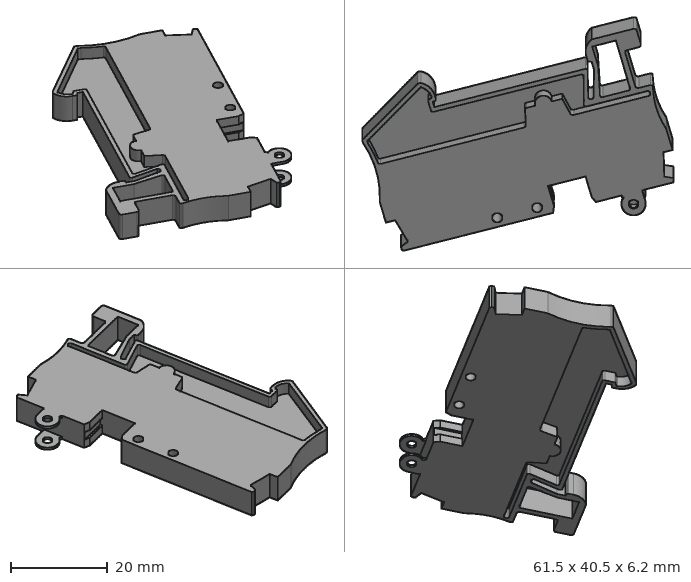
import cadquery as cq
import math

LENGTH = 61.5
THICKNESS = 6.2
TOTAL_HEIGHT = 40.5
TOP_Y = 35.5

HOOK_TOP_INSET = 1.8
HOOK_TIP_INSET = 1.55
HOOK_TIP_TOP_Y = 35.05
HOOK_TIP_LOW_Y = 34.5
HOOK_ROOT = (3.25, 33.7)
SHOULDER_INSET = 1.95
SHOULDER_Y = 28.4
FLANK_ARC_Y = 23.5
LEFT_FLANK_WAIST = (1.15, 16.6)
RIGHT_FLANK_WAIST = (60.75, 18.45)
RIGHT_FLANK_END_Y = 13.7
LEFT_FLANK_END_Y = 9.85

WALL = 1.0
RAIL_Y = 6.0
LEFT_CORNER = (0.2, 9.2)
LATCH_STEP_Y = 4.85
LATCH_TIP_Y = 4.6
LATCH_TIP_LEFT_X = 17.35
LATCH_TIP_RIGHT_X = 49.9
LATCH_ARC_Y = 3.45
FOOT_STEP = (57.9, 4.3)
RIGHT_LATCH_ARC = (50.35, 1.5)
RIGHT_LATCH_ARC_END_X = 51.95
LEFT_LATCH_ARC = (16.8, 1.5)
LEFT_LATCH_ARC_END = (15.3, 0.05)
LEFT_NOSE = (14.95, 0)
LEFT_NOSE_END = (14.5, 0.1)
SLIT_CORNER_X = 49.45
SLIT_BEND_Y = 6.7
SLIT_RIGHT = (48.95, 12.55)
SLIT_CROWN = (48.35, 12.9)
SLIT_LEFT = (47.8, 12.4)
ARM_Y = 13.1
ARM_END_X = 61.3
LATCH_ROOT_LEFT_X = 16.55
LATCH_ROOT_RIGHT_X = 50.6

WINDOW_TOP_LEFT_X = 50.2
WINDOW_LOW_LEFT_X = 51.65
WINDOW_RIGHT_X = 56.7
WINDOW_FLOOR_Y = 1.6
WINDOW_BEND_Y = 6.1

NOTCH_X = 38.53
NOTCH_WIDTH = 8.05
NOTCH_FLOOR_Y = 29.4
NOTCH_CHAMFER = 0.55
NOTCH_CHAMFER_HEIGHT = 1.3
GROOVE_WIDTH = 1.95
GROOVE_DEPTH = 0.5

EAR_RADIUS = 2.5
EAR_X = 50.5
EAR_Y = TOTAL_HEIGHT - EAR_RADIUS
EAR_THICKNESS = 0.6
EAR_NECK = (48.5, TOP_Y)
EAR_NECK_ANGLE = 230.0

HOLE_DIAMETER = 2.1
EAR_HOLE_DIAMETER = 1.95
TOP_HOLES = [(22.5, 33.45), (31.05, 33.45)]

WEB_THICKNESS = 0.6
RECESS_DEPTH = (THICKNESS - WEB_THICKNESS) / 2
RECESS_TOP_Y = 15.4
RECESS_LOW_Y = RAIL_Y + WALL
CHANNEL_LOW_Y = 14.25
CHANNEL_END_X = 60.4
CHANNEL_START_X = 46.4
RECESS_LEFT_X = 2.0
RECESS_RIGHT_X = 48.3
LATCH_POCKET_X = 15.7
LATCH_POCKET_STEP_Y = 4.25
LATCH_POCKET_TIP = (16.6, 3.8)
LATCH_POCKET_ARC = (16.2, 2.15)
LATCH_POCKET_NOSE = (15.0, 1.0)
RECESS_CORNER = (1.15, 9.7)
RECESS_FLANK_END_Y = 10.35
RECESS_FLANK_ARC = (1.7, 12.85)
TONGUE_Y = 11.25
TONGUE_TOP_WIDTH = 9.7
TONGUE_RADIUS = 1.8

SMALL_ROUND = 0.4
CORNER_ROUND = 0.6
LATCH_ROUND = 0.25


def right_side(point):
    """Mirror a point of the left flank to the right flank."""
    return (LENGTH - point[0], point[1])


def round_corners(solid, corners, radius):
    """Round the upright edges that stand nearest to the given corners."""
    for x, y in corners:
        nearest = cq.selectors.NearestToPointSelector((x, y, THICKNESS / 2))
        solid = solid.edges("|Z").edges(nearest).fillet(radius)
    return solid


def make_body():
    """Housing outline with flanks, notch, rail latch and foot."""
    flank = [
        (0, FLANK_ARC_Y),
        (0, SHOULDER_Y),
        (SHOULDER_INSET, SHOULDER_Y),
        HOOK_ROOT,
        (HOOK_TIP_INSET, HOOK_TIP_LOW_Y),
        (HOOK_TIP_INSET, HOOK_TIP_TOP_Y),
        (HOOK_TOP_INSET, TOP_Y),
    ]
    notch_left = NOTCH_X - NOTCH_WIDTH / 2
    notch_right = NOTCH_X + NOTCH_WIDTH / 2
    chamfer_y = TOP_Y - NOTCH_CHAMFER_HEIGHT
    notch = [
        (notch_left - NOTCH_CHAMFER, TOP_Y),
        (notch_left, chamfer_y),
        (notch_left, NOTCH_FLOOR_Y),
        (notch_right, NOTCH_FLOOR_Y),
        (notch_right, chamfer_y),
        (notch_right + NOTCH_CHAMFER, TOP_Y),
    ]
    right_flank = [right_side(point) for point in reversed(flank)]
    body = (
        cq.Workplane("XY")
        .polyline(flank + notch + right_flank)
        .threePointArc(RIGHT_FLANK_WAIST, (ARM_END_X, RIGHT_FLANK_END_Y))
        .lineTo(ARM_END_X, ARM_Y)
        .lineTo(FOOT_STEP[0], ARM_Y)
        .lineTo(*FOOT_STEP)
        .lineTo(LENGTH, FOOT_STEP[1])
        .lineTo(LENGTH, 0)
        .lineTo(RIGHT_LATCH_ARC_END_X, 0)
        .threePointArc(RIGHT_LATCH_ARC, (LATCH_TIP_RIGHT_X, LATCH_ARC_Y))
        .lineTo(LATCH_TIP_RIGHT_X, LATCH_TIP_Y)
        .lineTo(LATCH_ROOT_RIGHT_X, LATCH_STEP_Y)
        .lineTo(LATCH_ROOT_RIGHT_X, SLIT_BEND_Y)
        .lineTo(*SLIT_RIGHT)
        .threePointArc(SLIT_CROWN, SLIT_LEFT)
        .lineTo(SLIT_CORNER_X, RAIL_Y)
        .lineTo(LATCH_ROOT_LEFT_X, RAIL_Y)
        .lineTo(LATCH_ROOT_LEFT_X, LATCH_STEP_Y)
        .lineTo(LATCH_TIP_LEFT_X, LATCH_TIP_Y)
        .lineTo(LATCH_TIP_LEFT_X, LATCH_ARC_Y)
        .threePointArc(LEFT_LATCH_ARC, LEFT_LATCH_ARC_END)
        .threePointArc(LEFT_NOSE, LEFT_NOSE_END)
        .lineTo(*LEFT_CORNER)
        .lineTo(LEFT_CORNER[0], LEFT_FLANK_END_Y)
        .threePointArc(LEFT_FLANK_WAIST, (0, FLANK_ARC_Y))
        .close()
        .extrude(THICKNESS)
    )
    foot_corners = [(LENGTH, 0), (LENGTH, FOOT_STEP[1]), (FOOT_STEP[0], ARM_Y)]
    body = round_corners(body, foot_corners, CORNER_ROUND)
    small_corners = [
        FOOT_STEP,
        (ARM_END_X, ARM_Y),
        (SLIT_CORNER_X, RAIL_Y),
    ]
    body = round_corners(body, small_corners, SMALL_ROUND)
    latch_tips = [(LATCH_TIP_RIGHT_X, LATCH_TIP_Y), (LATCH_TIP_LEFT_X, LATCH_TIP_Y)]
    return round_corners(body, latch_tips, LATCH_ROUND)


def make_window():
    """Opening through the springy foot."""
    corners = [
        (WINDOW_TOP_LEFT_X, ARM_Y),
        (WINDOW_RIGHT_X, ARM_Y),
        (WINDOW_RIGHT_X, WINDOW_FLOOR_Y),
        (WINDOW_LOW_LEFT_X, WINDOW_FLOOR_Y),
        (WINDOW_LOW_LEFT_X, WINDOW_BEND_Y),
    ]
    window = cq.Workplane("XY").polyline(corners).close().extrude(THICKNESS)
    return round_corners(window, corners[:2], SMALL_ROUND)


def make_recess(base_z):
    """Recess bounded by the rim, with a rounded tongue left standing in it."""
    tongue_left = NOTCH_X - NOTCH_WIDTH / 2
    tongue_right = NOTCH_X + NOTCH_WIDTH / 2
    tongue_top_left = (NOTCH_X - TONGUE_TOP_WIDTH / 2, RECESS_TOP_Y)
    tongue_top_right = (NOTCH_X + TONGUE_TOP_WIDTH / 2, RECESS_TOP_Y)
    recess = (
        cq.Workplane("XY")
        .workplane(offset=base_z)
        .moveTo(RECESS_LEFT_X, RECESS_TOP_Y)
        .lineTo(*tongue_top_left)
        .lineTo(tongue_left, TONGUE_Y)
        .lineTo(NOTCH_X - TONGUE_RADIUS, TONGUE_Y)
        .threePointArc((NOTCH_X, TONGUE_Y - TONGUE_RADIUS), (NOTCH_X + TONGUE_RADIUS, TONGUE_Y))
        .lineTo(tongue_right, TONGUE_Y)
        .lineTo(*tongue_top_right)
        .lineTo(CHANNEL_END_X, RECESS_TOP_Y)
        .lineTo(CHANNEL_END_X, CHANNEL_LOW_Y)
        .lineTo(CHANNEL_START_X, CHANNEL_LOW_Y)
        .lineTo(RECESS_RIGHT_X, RECESS_LOW_Y)
        .lineTo(LATCH_POCKET_X, RECESS_LOW_Y)
        .lineTo(LATCH_POCKET_X, LATCH_POCKET_STEP_Y)
        .lineTo(*LATCH_POCKET_TIP)
        .threePointArc(LATCH_POCKET_ARC, LATCH_POCKET_NOSE)
        .lineTo(*RECESS_CORNER)
        .lineTo(RECESS_CORNER[0], RECESS_FLANK_END_Y)
        .threePointArc(RECESS_FLANK_ARC, (RECESS_LEFT_X, RECESS_TOP_Y))
        .close()
        .extrude(RECESS_DEPTH)
    )
    recess = round_corners(recess, [tongue_top_left, tongue_top_right], CORNER_ROUND)
    small_corners = [
        (RECESS_LEFT_X, RECESS_TOP_Y),
        (tongue_left, TONGUE_Y),
        (CHANNEL_END_X, RECESS_TOP_Y),
        (CHANNEL_END_X, CHANNEL_LOW_Y),
        (RECESS_RIGHT_X, RECESS_LOW_Y),
        (CHANNEL_START_X, CHANNEL_LOW_Y),
        (LATCH_POCKET_X, RECESS_LOW_Y),
    ]
    recess = round_corners(recess, small_corners, SMALL_ROUND)
    latch_corners = [(LATCH_POCKET_X, LATCH_POCKET_STEP_Y), LATCH_POCKET_TIP]
    return round_corners(recess, latch_corners, LATCH_ROUND)


def make_ear(base_z):
    """Thin eyelet plate rooted in the top edge."""
    neck_angle = math.radians(EAR_NECK_ANGLE)
    neck_end = (EAR_X + EAR_RADIUS * math.cos(neck_angle), EAR_Y + EAR_RADIUS * math.sin(neck_angle))
    right_x = EAR_X + EAR_RADIUS
    return (
        cq.Workplane("XY")
        .workplane(offset=base_z)
        .moveTo(right_x, TOP_Y)
        .lineTo(right_x, EAR_Y)
        .threePointArc((EAR_X, TOTAL_HEIGHT), neck_end)
        .lineTo(*EAR_NECK)
        .lineTo(EAR_NECK[0], NOTCH_FLOOR_Y)
        .lineTo(right_x, NOTCH_FLOOR_Y)
        .close()
        .extrude(EAR_THICKNESS)
    )


def make_notch_groove():
    """Shallow mid-thickness groove along both side walls of the notch."""
    groove = cq.Workplane("XY").box(
        NOTCH_WIDTH + 2 * GROOVE_DEPTH,
        TOP_Y - NOTCH_FLOOR_Y,
        GROOVE_WIDTH,
        centered=(True, False, True),
    )
    return groove.translate((NOTCH_X, NOTCH_FLOOR_Y, THICKNESS / 2))


def make_holes():
    """Through holes near the top edge and through both ears."""
    top_holes = cq.Workplane("XY").pushPoints(TOP_HOLES).circle(HOLE_DIAMETER / 2).extrude(THICKNESS)
    ear_hole = cq.Workplane("XY").center(EAR_X, EAR_Y).circle(EAR_HOLE_DIAMETER / 2).extrude(THICKNESS)
    return top_holes.add(ear_hole).combine()


result = make_body()
for ear_base in (0, THICKNESS - EAR_THICKNESS):
    result = result.union(make_ear(ear_base))
for recess_base in (0, THICKNESS - RECESS_DEPTH):
    result = result.cut(make_recess(recess_base))
for cutter in (make_window(), make_notch_groove(), make_holes()):
    result = result.cut(cutter)